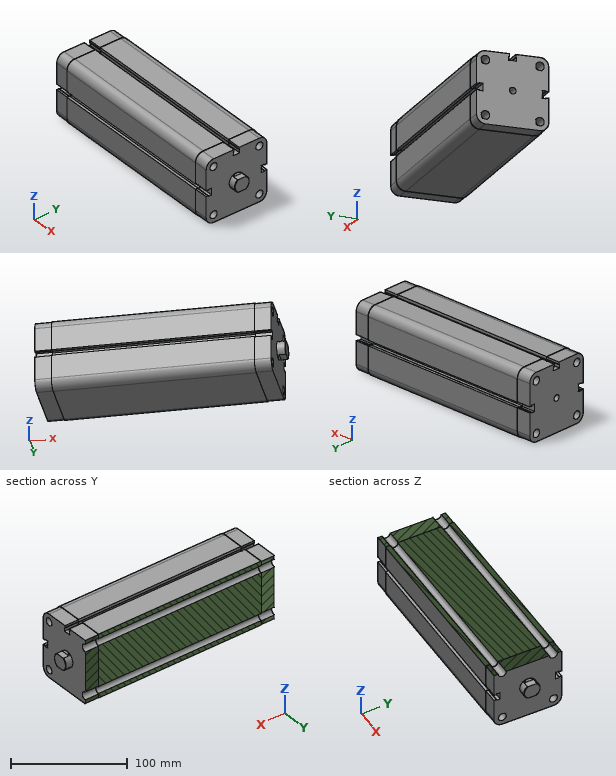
import cadquery as cq

total_length = 213.5
rear_cap_length = 14.5
front_cap_length = 14.5
rod_length = 7.7
barrel_length = total_length - rear_cap_length - front_cap_length - rod_length
barrel_start = rear_cap_length
front_cap_start = barrel_start + barrel_length
rod_start = front_cap_start + front_cap_length

barrel_width = 67.0
cap_width = 66.2
bolt_spacing = 50.0
barrel_hole_diameter = 6.8
cap_hole_diameter = 7.7

slot_floor = 27.1
slot_step = 30.5
barrel_slot_mouth = 5.3
barrel_slot_inner = 5.8
cap_slot_mouth = 5.8
cap_slot_inner = 7.0
slot_angles = (0, 90, -90)

port_diameter = 6.0

rod_diameter = 16.0
flat_distance = 13.0
flat_offset = 1.7
rod_chamfer = 0.5


def t_slot(start, length, mouth_width, inner_width, top):
    """Cutter for one T-slot in the top face, open outwards up to the height top."""
    half_inner = inner_width / 2
    half_mouth = mouth_width / 2
    return (
        cq.Workplane("YZ", origin=(start, 0, 0))
        .moveTo(-half_inner, slot_floor)
        .lineTo(half_inner, slot_floor)
        .lineTo(half_inner, slot_step)
        .lineTo(half_mouth, slot_step)
        .lineTo(half_mouth, top)
        .lineTo(-half_mouth, top)
        .lineTo(-half_mouth, slot_step)
        .lineTo(-half_inner, slot_step)
        .close()
        .extrude(length)
    )


def profile_block(start, length, width, hole_diameter, mouth_width, inner_width):
    """Rounded square block with four through holes and three T-slots."""
    corner_radius = (width - bolt_spacing) / 2
    block = (
        cq.Workplane("YZ", origin=(start, 0, 0))
        .rect(width, width)
        .extrude(length)
        .edges("|X")
        .fillet(corner_radius)
    )
    holes = (
        cq.Workplane("YZ", origin=(start, 0, 0))
        .rect(bolt_spacing, bolt_spacing, forConstruction=True)
        .vertices()
        .circle(hole_diameter / 2)
        .extrude(length)
    )
    block = block.cut(holes)
    slot = t_slot(start, length, mouth_width, inner_width, width)
    for angle in slot_angles:
        block = block.cut(slot.rotate((0, 0, 0), (1, 0, 0), angle))
    return block


def make_cap(start, length):
    """Plain end cap."""
    return profile_block(start, length, cap_width, cap_hole_diameter, cap_slot_mouth, cap_slot_inner)


def make_rear_cap():
    """Rear cap with a central port through its thickness."""
    cap = make_cap(0, rear_cap_length)
    port = cq.Workplane("YZ").circle(port_diameter / 2).extrude(rear_cap_length)
    return cap.cut(port)


def make_barrel():
    """Barrel between the two caps, standing slightly proud of them all round."""
    return profile_block(
        barrel_start,
        barrel_length,
        barrel_width,
        barrel_hole_diameter,
        barrel_slot_mouth,
        barrel_slot_inner,
    )


def make_rod():
    """Round rod end standing on the front cap, with flats facing up and down.

    Each flat ends in a 45 degree shoulder towards the cap.
    """
    rod = (
        cq.Workplane("YZ", origin=(rod_start, 0, 0))
        .circle(rod_diameter / 2)
        .extrude(rod_length)
        .faces(">X")
        .chamfer(rod_chamfer)
    )
    half_flat = flat_distance / 2
    shoulder_depth = rod_diameter / 2 - half_flat
    flat_start = rod_start + flat_offset
    flat_cutter = (
        cq.Workplane("XZ")
        .moveTo(flat_start, half_flat)
        .lineTo(total_length, half_flat)
        .lineTo(total_length, half_flat + shoulder_depth)
        .lineTo(flat_start - shoulder_depth, half_flat + shoulder_depth)
        .close()
        .extrude(rod_diameter / 2, both=True)
    )
    return rod.cut(flat_cutter).cut(flat_cutter.mirror("XY"))


rear_cap = make_rear_cap()
barrel = make_barrel()
front_cap = make_cap(front_cap_start, front_cap_length)
rod = make_rod()

result = cq.Compound.makeCompound([rear_cap.val(), barrel.val(), front_cap.val(), rod.val()])